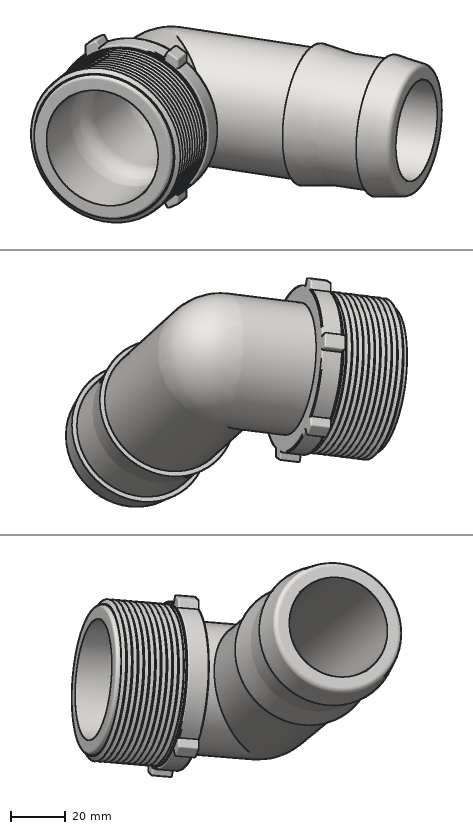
import cadquery as cq
import math


pipe_radius = 24.65
bore_radius = 19.0

hose_end = 98.72
barb_radius = 26.6
first_barb_start = 56.35
first_barb_end = 69.4
second_barb_start = 86.0
second_barb_end = 96.8
barb_tip_radius = 24.9

collar_radius = 31.15
collar_start = 28.55
collar_end = 36.7
collar_fillet = 0.4
thread_leg_end = 63.57
thread_root_radius = 28.3
thread_crest_radius = 30.1
thread_pitch = 2.23
thread_ridges = 11
first_crest = 38.25
neck_end = 37.25
nose_radius = 27.9
nose_start = 61.7
nose_fillet = 1.2

mouth_radius = 22.5
mouth_depth = 22.5
blend_angle = math.radians(24)
blend_radius = 13.0

lug_reach = 34.0
lug_half_width = 3.0
lug_fillet = 0.65
corner_lug_angle = math.radians(60)
corner_lug_side = 18.8


def hose_leg():
    """Barbed tube, revolved about the X axis."""
    nose_round = hose_end - second_barb_end
    profile = (
        cq.Workplane("XY")
        .lineTo(0, pipe_radius)
        .lineTo(first_barb_start, pipe_radius)
        .lineTo(first_barb_start, barb_radius)
        .lineTo(first_barb_end, pipe_radius)
        .lineTo(second_barb_start, pipe_radius)
        .lineTo(second_barb_start, barb_radius)
        .lineTo(second_barb_end, barb_tip_radius)
        .radiusArc((hose_end, barb_tip_radius - nose_round), nose_round)
        .lineTo(hose_end, 0)
        .close()
    )
    return profile.revolve(360, (0, 0, 0), (1, 0, 0))


def threaded_leg():
    """Tube, collar, ring-shaped thread ridges and nose, revolved about the Y axis."""
    flank_slope = (thread_crest_radius - thread_root_radius) / (thread_pitch / 2)
    relief_radius = thread_crest_radius - flank_slope * (first_crest - neck_end) / 2
    profile = (
        cq.Workplane("XY")
        .lineTo(pipe_radius, 0)
        .lineTo(pipe_radius, -collar_start)
        .lineTo(collar_radius - collar_fillet, -collar_start)
        .radiusArc((collar_radius, -(collar_start + collar_fillet)), collar_fillet)
        .lineTo(collar_radius, -(collar_end - collar_fillet))
        .radiusArc((collar_radius - collar_fillet, -collar_end), collar_fillet)
        .lineTo(thread_crest_radius, -collar_end)
        .lineTo(thread_crest_radius, -neck_end)
        .lineTo(relief_radius, -(neck_end + first_crest) / 2)
        .lineTo(thread_crest_radius, -first_crest)
    )
    for ridge in range(1, thread_ridges):
        crest = first_crest + ridge * thread_pitch
        profile = profile.lineTo(thread_root_radius, -(crest - thread_pitch / 2))
        profile = profile.lineTo(thread_crest_radius, -crest)
    profile = (
        profile.lineTo(thread_root_radius, -nose_start)
        .lineTo(nose_radius, -nose_start)
        .lineTo(nose_radius, -(thread_leg_end - nose_fillet))
        .radiusArc((nose_radius - nose_fillet, -thread_leg_end), nose_fillet)
        .lineTo(0, -thread_leg_end)
        .close()
    )
    return profile.revolve(360, (0, 0, 0), (0, 1, 0))


def lug(outline):
    """Rounded block as long as the collar, with the given outline in X and Z."""
    return (
        cq.Workplane("XZ", origin=(0, -collar_start, 0))
        .polyline(outline)
        .close()
        .extrude(collar_end - collar_start)
        .edges()
        .fillet(lug_fillet)
    )


def side_lug():
    """Rectangular lug on the -X side of the collar."""
    return lug([
        (-pipe_radius, -lug_half_width),
        (-lug_reach, -lug_half_width),
        (-lug_reach, lug_half_width),
        (-pipe_radius, lug_half_width),
    ])


def corner_lugs():
    """Four mirrored lugs, each with one radial side and one side parallel to Z."""
    cosine = math.cos(corner_lug_angle)
    sine = math.sin(corner_lug_angle)
    side_shift_x = lug_half_width * sine
    side_shift_z = lug_half_width * cosine
    outer_corner_z = (lug_reach - corner_lug_side * cosine) / sine
    upper_lug = lug([
        (pipe_radius * cosine - side_shift_x, pipe_radius * sine + side_shift_z),
        (lug_reach * cosine - side_shift_x, lug_reach * sine + side_shift_z),
        (corner_lug_side, outer_corner_z),
        (corner_lug_side, pipe_radius * sine),
    ])
    upper_pair = upper_lug.union(upper_lug.mirror("YZ"))
    return upper_pair.union(upper_pair.mirror("XY"))


def bore():
    """Round passage through both legs with a stepped inlet."""
    hose_bore = cq.Workplane("YZ").circle(bore_radius).extrude(hose_end)
    bend_bore = cq.Workplane("XY").sphere(bore_radius)
    arc_drop = blend_radius * (1 - math.cos(blend_angle))
    arc_length = blend_radius * math.sin(blend_angle)
    cone_drop = mouth_radius - bore_radius - 2 * arc_drop
    mouth_end = mouth_depth - thread_leg_end
    cone_start = mouth_end + arc_length
    cone_end = cone_start + cone_drop / math.tan(blend_angle)
    inlet = (
        cq.Workplane("XY")
        .lineTo(bore_radius, 0)
        .lineTo(bore_radius, cone_end + arc_length)
        .radiusArc((bore_radius + arc_drop, cone_end), -blend_radius)
        .lineTo(mouth_radius - arc_drop, cone_start)
        .radiusArc((mouth_radius, mouth_end), blend_radius)
        .lineTo(mouth_radius, -thread_leg_end)
        .lineTo(0, -thread_leg_end)
        .close()
        .revolve(360, (0, 0, 0), (0, 1, 0))
    )
    return hose_bore.union(bend_bore).union(inlet)


body = hose_leg().union(threaded_leg()).union(cq.Workplane("XY").sphere(pipe_radius))
body = body.union(side_lug()).union(corner_lugs())
result = body.cut(bore())